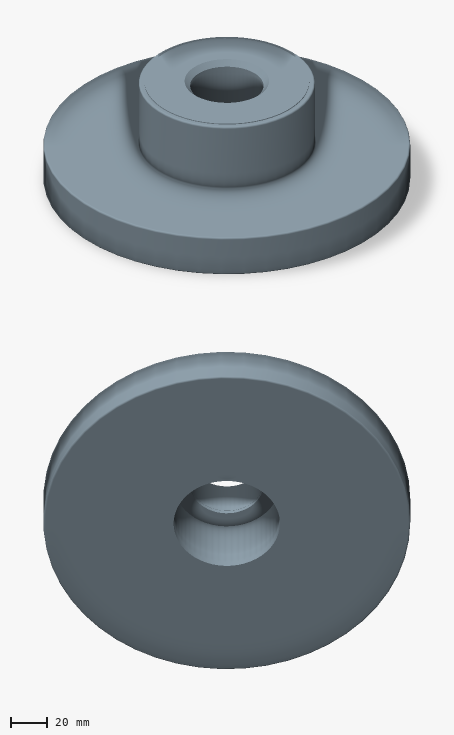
import cadquery as cq

overall_height = 63.0

flange_diameter = 200.0
flange_height = 23.5
hub_diameter = 96.0
bush_protrusion = 0.5
hub_height = overall_height - bush_protrusion
edge_fillet = 1.0

bush_diameter = 90.0
bush_bore_diameter = 40.0
bush_bore_chamfer = 3.0
bush_height = 25.0
seat_height = overall_height - bush_height

lip_thickness = 2.2
lip_bore_diameter = 40.2
relief_diameter = 58.0


def cylinder(diameter, bottom, top):
    """Cylinder about the Z axis between two heights."""
    return cq.Workplane("XY").workplane(offset=bottom).circle(diameter / 2).extrude(top - bottom)


def make_housing():
    """Flanged hub with rounded edges, a bush pocket, a lip and a relief bore."""
    flange = cylinder(flange_diameter, 0, flange_height)
    hub = cylinder(hub_diameter, 0, hub_height)
    body = flange.union(hub).edges("%CIRCLE").fillet(edge_fillet)
    relief = cylinder(relief_diameter, 0, seat_height - lip_thickness)
    lip_bore = cylinder(lip_bore_diameter, 0, seat_height)
    pocket = cylinder(bush_diameter, seat_height, overall_height)
    return body.cut(relief).cut(lip_bore).cut(pocket)


def make_bush():
    """Plain ring with a chamfered bore mouth."""
    ring = cylinder(bush_diameter, seat_height, overall_height)
    ring = ring.cut(cylinder(bush_bore_diameter, seat_height, overall_height))
    bore_mouth = ring.faces(">Z").edges(cq.selectors.RadiusNthSelector(0))
    return bore_mouth.chamfer(bush_bore_chamfer)


housing = make_housing()
bush = make_bush()

result = cq.Compound.makeCompound([*housing.solids().vals(), *bush.solids().vals()])